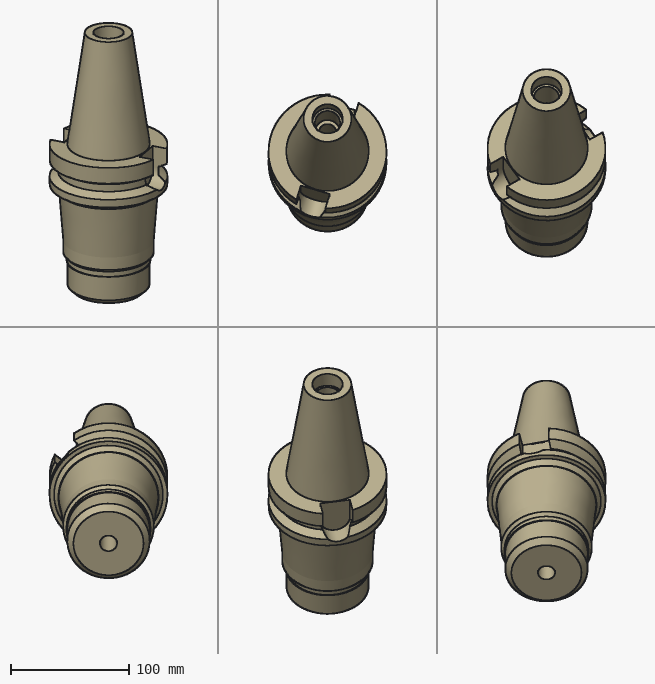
import cadquery as cq

total_height = 237.5
nose_chamfer_top = 5.0
nose_top = 26.8
collar_bottom = 31.8
collar_chamfer_top = 34.7
body_bottom = 46.0
body_top = 92.5
flange_bottom = 97.5
groove_cone_bottom = 104.7
groove_bottom = 109.0
groove_top = 115.5
groove_cone_top = 119.6
flange_top = 134.1
gauge_level = 135.5

taper_tip_diameter = 40.4
gauge_diameter = 69.8
flange_diameter = 100.0
groove_diameter = 85.5
flange_chamfer_diameter = 92.0
flange_neck_diameter = 85.0
body_top_diameter = 84.0
body_bottom_diameter = 77.0
collar_neck_diameter = 71.2
nose_diameter = 69.8
nose_face_diameter = 59.4

entry_bore_diameter = 25.6
entry_bore_depth = 13.5
stepped_bore_diameter = 21.4
stepped_bore_depth = 42.7
through_hole_diameter = 14.5

slot_width = 25.6
slot_depth = 32.5
slot_floor_distance = 35.4


def make_holder_body():
    """Revolve the stepped outer profile about the Z axis."""
    corners = [
        (nose_face_diameter, 0),
        (nose_diameter, nose_chamfer_top),
        (nose_diameter, nose_top),
        (collar_neck_diameter, nose_top),
        (collar_neck_diameter, collar_bottom),
        (body_bottom_diameter, collar_chamfer_top),
        (body_bottom_diameter, body_bottom),
        (body_top_diameter, body_top),
        (flange_neck_diameter, body_top),
        (flange_chamfer_diameter, flange_bottom),
        (flange_diameter, flange_bottom),
        (flange_diameter, groove_cone_bottom),
        (groove_diameter, groove_bottom),
        (groove_diameter, groove_top),
        (flange_diameter, groove_cone_top),
        (flange_diameter, flange_top),
        (gauge_diameter, flange_top),
        (gauge_diameter, gauge_level),
        (taper_tip_diameter, total_height),
    ]
    profile = [(diameter / 2, height) for diameter, height in corners]
    axis_ends = [(0, total_height), (0, 0)]
    outline = cq.Workplane("XZ").polyline(profile + axis_ends).close()
    return outline.revolve(360, (0, 0), (0, 1))


def make_bore(diameter, depth):
    """Cylinder reaching down from the taper tip along Z."""
    base = cq.Workplane("XY").workplane(offset=total_height - depth)
    return base.circle(diameter / 2).extrude(depth)


def make_drive_slot(side):
    """Round-ended slot cutter; side is -1 for the -X slot and +1 for the +X slot."""
    half_width = slot_width / 2
    slot_end = flange_top - slot_depth
    arc_center = slot_end + half_width
    length = flange_diameter / 2 - slot_floor_distance
    base = cq.Workplane("YZ").workplane(offset=side * slot_floor_distance)
    outline = (
        base.moveTo(-half_width, flange_top)
        .lineTo(-half_width, arc_center)
        .threePointArc((0, slot_end), (half_width, arc_center))
        .lineTo(half_width, flange_top)
        .close()
    )
    return outline.extrude(side * length)


result = make_holder_body()

for bore_diameter, bore_depth in [
    (entry_bore_diameter, entry_bore_depth),
    (stepped_bore_diameter, stepped_bore_depth),
    (through_hole_diameter, total_height),
]:
    result = result.cut(make_bore(bore_diameter, bore_depth))

for slot_side in (-1, 1):
    result = result.cut(make_drive_slot(slot_side))